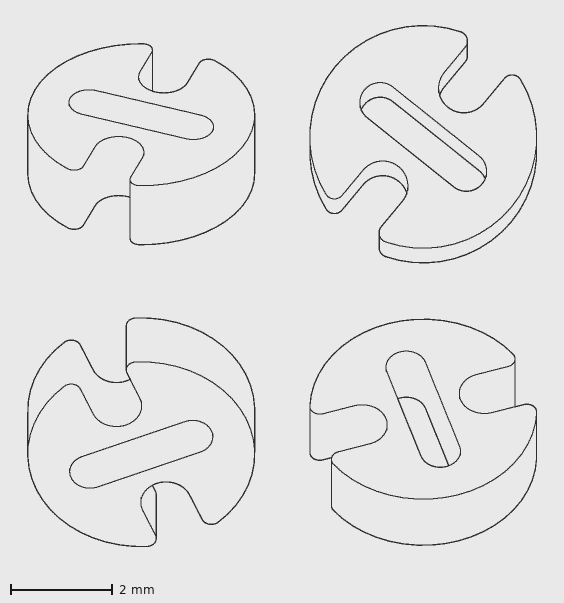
import cadquery as cq

disc_diameter = 4.49
thickness = 1.5
notch_width = 0.995
notch_floor_offset = 0.772
notch_corner_radius = 0.198
slot_length = 3.0
slot_width = 0.8

notch_radius = notch_width / 2
notch_arc_centre = notch_floor_offset + notch_radius


def notch_cutter(side):
    """Round-bottomed notch open at the rim, on the +Y (side=1) or -Y (side=-1) side."""
    rim_y = side * disc_diameter / 2
    arc_y = side * notch_arc_centre
    return (
        cq.Workplane("XY")
        .moveTo(-notch_radius, rim_y)
        .lineTo(-notch_radius, arc_y)
        .threePointArc((0, side * notch_floor_offset), (notch_radius, arc_y))
        .lineTo(notch_radius, rim_y)
        .close()
        .extrude(thickness)
    )


body = cq.Workplane("XY").circle(disc_diameter / 2).extrude(thickness)
for side in (1, -1):
    body = body.cut(notch_cutter(side))

corner_zone_y = notch_arc_centre + notch_radius
corner_zone = cq.selectors.BoxSelector(
    (-notch_width, corner_zone_y, 0), (notch_width, disc_diameter, thickness)
) + cq.selectors.BoxSelector(
    (-notch_width, -disc_diameter, 0), (notch_width, -corner_zone_y, thickness)
)
body = body.edges("|Z").edges(corner_zone).fillet(notch_corner_radius)

slot = cq.Workplane("XY").slot2D(slot_length, slot_width).extrude(thickness)
result = body.cut(slot)